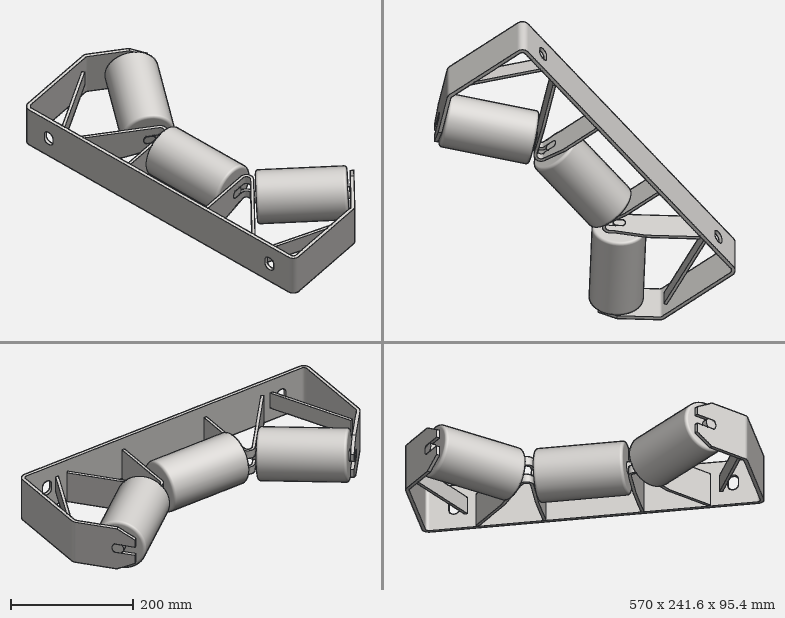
import cadquery as cq
import math

frame_length = 570.0
frame_height = 80.0
frame_thickness = 6.0
frame_outer_bend = 2 * frame_thickness
frame_wall_length = 157.8
flap_angle = 50.0
flap_tip_y = 238.5
flap_chamfer_length = 31.0
flap_chamfer_height = 17.0
mount_slot_spacing = 465.0
mount_slot_width = 18.0
mount_slot_height = 27.0

roller_diameter = 89.0
roller_length = 150.0
roller_edge_radius = 5.0
shaft_diameter = 20.0
shaft_flat_width = 16.0
roller_gap = 4.0
middle_roller_y = 100.4
middle_roller_z = 34.0
side_roller_y = 161.4
side_roller_z = 37.0
side_roller_tilt = 2.65
collar_clearance = 1.0

bracket_thickness = 5.0
bracket_outer_bend = 12.0
bracket_face_x = roller_length / 2 + roller_gap
bracket_bend_start_y = 115.2
bracket_top_z = 57.5
bracket_nose_bottom_z = 10.5
bracket_taper_length = 41.0

brace_thickness = 5.0
brace_bottom_z = 25.0
brace_top_z = 55.0
brace_base_x = 215.5
brace_wall_y = 144.0


def direction(angle):
    return cq.Vector(math.cos(math.radians(angle)), math.sin(math.radians(angle)))


def mirrored(body):
    return body.mirror("YZ")


def flipped(point):
    return cq.Vector(-point.x, point.y)


def bent_strip(path, thickness, outer_bend, height):
    """Strip standing on Z = 0. The path is its outer side; the material lies to the left of it."""
    headings = [(end - start).normalized() for start, end in zip(path, path[1:])]
    normals = [cq.Vector(-heading.y, heading.x) for heading in headings]
    inner = [path[0] + normals[0] * thickness]
    for corner, before, after in zip(path[1:-1], normals, normals[1:]):
        inner.append(corner + (before + after) * (thickness / (1 + before.dot(after))))
    inner.append(path[-1] + normals[-1] * thickness)

    outline = [(point.x, point.y) for point in path + inner[::-1]]
    strip = cq.Workplane("XY").polyline(outline).close().extrude(height)
    for corners, radius in ((path, outer_bend), (inner, outer_bend - thickness)):
        for corner in corners[1:-1]:
            edge = cq.selectors.NearestToPointSelector((corner.x, corner.y, height / 2))
            strip = strip.edges(edge).fillet(radius)
    return strip


along_flap = direction(flap_angle)
into_frame = direction(flap_angle - 90)

base_corner = cq.Vector(-frame_length / 2, 0)
flap_corner = cq.Vector(-frame_length / 2, frame_wall_length)
flap_tip = flap_corner + along_flap * ((flap_tip_y - frame_wall_length) / along_flap.y)

bracket_foot = cq.Vector(-bracket_face_x, frame_thickness)
bracket_turn = math.radians(90 + flap_angle)
bracket_apex_y = bracket_bend_start_y + bracket_outer_bend * math.tan(bracket_turn / 2)
bracket_apex = cq.Vector(-bracket_face_x, bracket_apex_y)
leg_end_y = frame_thickness - bracket_thickness * into_frame.y
leg_end = bracket_apex - along_flap * ((bracket_apex.y - leg_end_y) / along_flap.y)

axis_point = bracket_apex - into_frame * (roller_length / 2 + roller_gap)
side_roller_centre = axis_point + along_flap * ((side_roller_y - axis_point.y) / along_flap.y)
side_shaft_reach = (side_roller_centre - flap_corner).dot(into_frame)


def place_middle(part):
    return part.translate((0, middle_roller_y, middle_roller_z))


def place_side(part):
    tilted = part.rotate((0, 0, 0), (0, 1, 0), side_roller_tilt)
    turned = tilted.rotate((0, 0, 0), (0, 0, 1), flap_angle - 90)
    return turned.translate((side_roller_centre.x, side_roller_centre.y, side_roller_z))


def round_bar(diameter, length):
    return cq.Workplane("YZ", origin=(-length / 2, 0, 0)).circle(diameter / 2).extrude(length)


def flatted_shaft(length):
    flats = cq.Workplane("XY").box(length, shaft_diameter, shaft_flat_width)
    return round_bar(shaft_diameter, length).intersect(flats)


def roller(shaft_length):
    barrel = round_bar(roller_diameter, roller_length).faces("<X or >X").edges().fillet(roller_edge_radius)
    collars = round_bar(shaft_diameter, roller_length + 2 * (roller_gap - collar_clearance))
    return barrel.union(collars).union(flatted_shaft(shaft_length))


def shaft_slots(shaft_length, depth):
    """Cutter for both plates that carry a shaft: the shaft itself and an opening on its +Y side."""
    opening = cq.Workplane("XY").box(shaft_length, depth, shaft_flat_width, centered=(True, False, True))
    return flatted_shaft(shaft_length).union(opening)


middle_shaft_length = roller_length + 2 * (roller_gap + bracket_thickness)
side_shaft_length = 2 * side_shaft_reach
slot_length = side_shaft_length + 2 * bracket_outer_bend
slot_depth = 40.0

middle_roller = place_middle(roller(middle_shaft_length))
side_roller = place_side(roller(side_shaft_length))
middle_slots = place_middle(shaft_slots(slot_length, slot_depth))
side_slots = place_side(shaft_slots(slot_length, slot_depth))


def flap_chamfers():
    triangle = [(0, 0), (-flap_chamfer_length, 0), (0, flap_chamfer_height)]
    lower = cq.Workplane("XZ").polyline(triangle).close().extrude(2 * frame_thickness, both=True)
    upper = lower.mirror("XY").translate((0, 0, frame_height))
    return lower.union(upper).rotate((0, 0, 0), (0, 0, 1), flap_angle).translate(flap_tip)


def mount_slots():
    return (
        cq.Workplane("XZ", origin=(0, 0, frame_height / 2))
        .pushPoints([(-mount_slot_spacing / 2, 0), (mount_slot_spacing / 2, 0)])
        .slot2D(mount_slot_height, mount_slot_width, 90)
        .extrude(-frame_thickness)
    )


def frame():
    left_side = [flap_tip, flap_corner, base_corner]
    path = left_side + [flipped(point) for point in reversed(left_side)]
    body = bent_strip(path, frame_thickness, frame_outer_bend, frame_height).cut(mount_slots())
    for cutter in (flap_chamfers(), side_slots):
        body = body.cut(cutter).cut(mirrored(cutter))
    return body


def nose_taper():
    """Cutter that lifts the lower edge of the bracket towards its bend."""
    nose_y = bracket_bend_start_y + bracket_outer_bend
    profile = [
        (bracket_bend_start_y - bracket_taper_length, 0),
        (bracket_bend_start_y, bracket_nose_bottom_z),
        (nose_y, bracket_nose_bottom_z),
        (nose_y, 0),
    ]
    return cq.Workplane("YZ").polyline(profile).close().extrude(-frame_length / 2)


def bracket():
    path = [bracket_foot, bracket_apex, leg_end]
    body = bent_strip(path, bracket_thickness, bracket_outer_bend, bracket_top_z)
    return body.cut(nose_taper()).cut(middle_slots).cut(side_slots)


def brace():
    wall_corner = cq.Vector(frame_thickness - frame_length / 2, brace_wall_y)
    base_end = cq.Vector(-brace_base_x, frame_thickness)
    slope = (base_end - wall_corner).normalized()
    free_corner = wall_corner + cq.Vector(-slope.y, slope.x) * brace_thickness
    width_on_base = brace_thickness / -slope.y
    outline = [wall_corner, base_end, base_end + cq.Vector(width_on_base, 0), free_corner]
    return (
        cq.Workplane("XY", origin=(0, 0, brace_bottom_z))
        .polyline([(point.x, point.y) for point in outline])
        .close()
        .extrude(brace_top_z - brace_bottom_z)
    )


main_frame = frame()
left_bodies = [bracket(), brace(), side_roller]
bodies = [main_frame, middle_roller]
for left_body in left_bodies:
    bodies += [left_body, mirrored(left_body)]

result = cq.Compound.makeCompound([body.solids().val() for body in bodies])